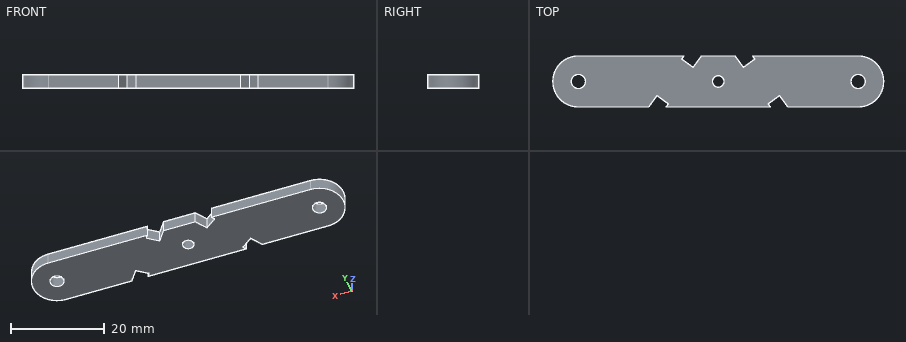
import cadquery as cq

length = 71.0
width = 11.0
thickness = 3.0
end_hole_spacing = length - width
end_hole_diameter = 3.0
center_hole_diameter = 2.4

notch_width = thickness
notch_tilt = 36.0
notch_depth = 3.05
notch_tip_y = 3.05
upper_tip_x = 5.4
lower_tip_x = 13.1


def notch_cutter(tip_x, turn):
    """Notch with its deepest corner at (tip_x, notch_tip_y), turned about the bar's center."""
    return (
        cq.Workplane("XY")
        .rect(notch_width, notch_depth, centered=False)
        .extrude(thickness)
        .rotate((0, 0, 0), (0, 0, 1), notch_tilt)
        .translate((tip_x, notch_tip_y, 0))
        .rotate((0, 0, 0), (0, 0, 1), turn)
    )


bar = cq.Workplane("XY").slot2D(length, width).extrude(thickness)

end_holes = (
    cq.Workplane("XY")
    .pushPoints([(-end_hole_spacing / 2, 0), (end_hole_spacing / 2, 0)])
    .circle(end_hole_diameter / 2)
    .extrude(thickness)
)
center_hole = cq.Workplane("XY").circle(center_hole_diameter / 2).extrude(thickness)
result = bar.cut(end_holes).cut(center_hole)

upper_notch = notch_cutter(upper_tip_x, 0)
lower_notch = notch_cutter(-lower_tip_x, 180)
for notch in (upper_notch, lower_notch):
    result = result.cut(notch).cut(notch.mirror("YZ"))